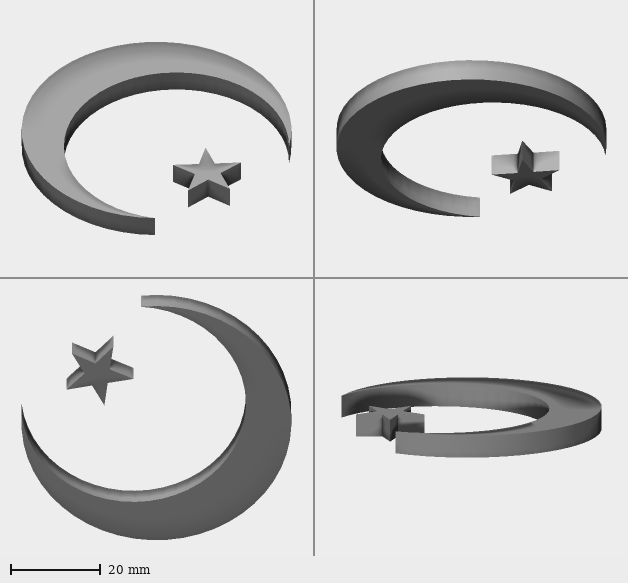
import cadquery as cq
import math

thickness = 5.0
disc_radius = 30.0
cutout_radius = 25.0
cutout_offset = 7.0

star_points = 5
star_tip_radius = 8.0
star_notch_radius = 3.0
star_center_x = 17.9


def make_crescent():
    disc = cq.Workplane("XY").circle(disc_radius).extrude(thickness)
    cutout = cq.Workplane("XY").center(cutout_offset, 0).circle(cutout_radius).extrude(thickness)
    return disc.cut(cutout)


def make_star():
    half_step = math.pi / star_points
    outline = []
    for index in range(2 * star_points):
        radius = star_tip_radius if index % 2 == 0 else star_notch_radius
        angle = index * half_step
        outline.append((star_center_x + radius * math.cos(angle), radius * math.sin(angle)))
    return cq.Workplane("XY").polyline(outline).close().extrude(thickness)


crescent = make_crescent()
star = make_star()

result = cq.Compound.makeCompound([crescent.val(), star.val()])